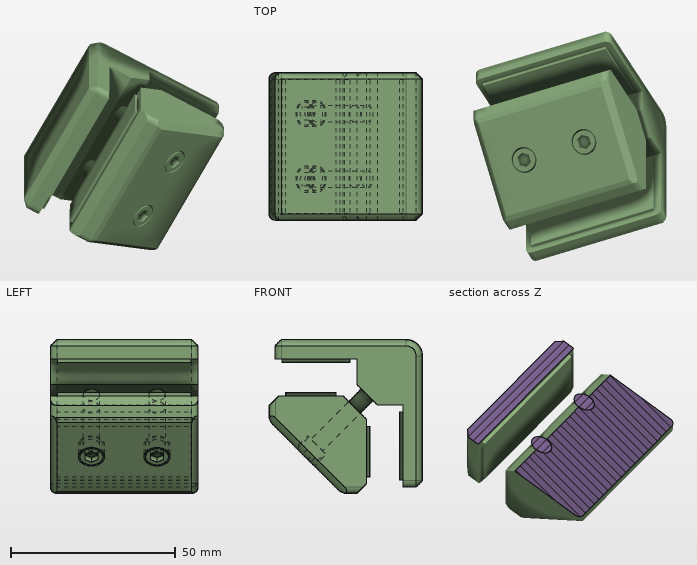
import cadquery as cq
import math


depth = 45.0
arm_length = 45.0
arm_thickness = 6.0
corner_radius = 4.95
boss_reach = 20.0
boss_bevel = 6.25
rim_chamfer = 1.95
end_fillet = 2.0

block_size = 29.75
block_right = -17.05
block_top = -17.15
inner_bevel = 7.2
tip_bevel = 2.95
slope_corner = 7.55
facet_setback = 0.9
block_fillet = 1.95
slope_chamfer = 1.95

pad_thickness = 1.0
pad_margin = 2.1

screw_spacing = 20.0
shank_diameter = 5.0
head_diameter = 7.0
head_height = 5.0
counterbore_diameter = 7.97
socket_flats = 4.0
socket_depth = 1.95

half_depth = depth / 2
pad_depth = depth - 2 * pad_margin
block_left = block_right - block_size
block_bottom = block_top - block_size
facet_step = facet_setback * math.sin(math.radians(45))
tip_edge = slope_corner - facet_setback
slope_offset = -(block_left + block_top - slope_corner) / math.sqrt(2)
boss_face_offset = (2 * boss_reach - boss_bevel) / math.sqrt(2)
head_seat_offset = slope_offset - head_height


def prism(points):
    """Extrude an XZ outline over the whole depth, centred on Y = 0."""
    return cq.Workplane("XZ").polyline(points).close().extrude(half_depth, both=True)


def pad(x_min, x_max, z_min, z_max):
    """Flat contact pad, set in from both side faces."""
    size_x = x_max - x_min
    size_z = z_max - z_min
    centre = ((x_min + x_max) / 2, 0, (z_min + z_max) / 2)
    return cq.Workplane("XY").box(size_x, pad_depth, size_z).translate(centre)


def screw_plane(y, offset):
    """Plane square to a screw axis, facing outward, at a distance from the origin along it."""
    along = offset / math.sqrt(2)
    return cq.Workplane(cq.Plane(origin=(-along, y, -along), xDir=(-1, 0, 1), normal=(-1, 0, -1)))


def make_screw(y):
    """Socket-head screw from the boss face to the sloped face of the block."""
    shank = screw_plane(y, boss_face_offset).circle(shank_diameter / 2)
    shank = shank.extrude(head_seat_offset - boss_face_offset)
    head = screw_plane(y, head_seat_offset).circle(head_diameter / 2).extrude(head_height)
    socket_corners = socket_flats / math.cos(math.radians(30))
    socket = screw_plane(y, slope_offset).polygon(6, socket_corners).extrude(-socket_depth)
    return shank.union(head).cut(socket)


def make_bracket(screw_positions):
    """L-shaped bracket with its bevelled boss, pads and fixed screws."""
    arms = prism([
        (0, 0),
        (-arm_length, 0),
        (-arm_length, -arm_thickness),
        (-arm_thickness, -arm_thickness),
        (-arm_thickness, -arm_length),
        (0, -arm_length),
    ])
    arms = arms.edges(cq.selectors.NearestToPointSelector((0, 0, 0))).fillet(corner_radius)
    arms = arms.faces("<X").edges("|Z").fillet(end_fillet)
    arms = arms.faces("<Z").edges("|X").fillet(end_fillet)
    arms = arms.faces(">Z").edges("<X").chamfer(rim_chamfer)

    boss = prism([
        (-arm_thickness, -arm_thickness),
        (-boss_reach, -arm_thickness),
        (-boss_reach, boss_bevel - boss_reach),
        (boss_bevel - boss_reach, -boss_reach),
        (-arm_thickness, -boss_reach),
    ])
    bracket = arms.union(boss)

    pad_start = -arm_length + pad_margin
    pad_end = -boss_reach - pad_margin
    pad_face = -arm_thickness - pad_thickness
    bracket = bracket.union(pad(pad_start, pad_end, pad_face, -arm_thickness))
    bracket = bracket.union(pad(pad_face, -arm_thickness, pad_start, pad_end))

    for y in screw_positions:
        bracket = bracket.union(make_screw(y))
    return bracket


def slope_edge_cutter(side):
    """Prism that bevels one side edge of the sloped face; side is -1 or +1."""
    slope_position = slope_offset / math.sqrt(2)
    section = cq.Plane(origin=(-slope_position, 0, -slope_position), xDir=(0, 1, 0), normal=(1, 0, -1))
    triangle = [
        (side * half_depth, 0),
        (side * (half_depth - slope_chamfer), 0),
        (side * half_depth, slope_chamfer),
    ]
    return cq.Workplane(section).polyline(triangle).close().extrude(block_size, both=True)


def make_block(screw_positions):
    """Clamp block with pads, a sloped outer face and stepped screw holes."""
    block = prism([
        (block_right - inner_bevel, block_top),
        (block_left + tip_bevel, block_top),
        (block_left, block_top - tip_bevel),
        (block_left, block_top - tip_edge),
        (block_left + facet_step, block_top - slope_corner - facet_step),
        (block_right - slope_corner - facet_step, block_bottom + facet_step),
        (block_right - tip_edge, block_bottom),
        (block_right - tip_bevel, block_bottom),
        (block_right, block_bottom + tip_bevel),
        (block_right, block_top - inner_bevel),
    ])
    block = block.faces("<X").edges("|Z").fillet(block_fillet)
    block = block.faces("<Z").edges("|X").fillet(block_fillet)
    for side in (-1, 1):
        block = block.cut(slope_edge_cutter(side))

    pad_start = inner_bevel + pad_margin
    pad_end = block_size - tip_bevel - pad_margin
    top_pad = pad(block_right - pad_end, block_right - pad_start, block_top, block_top + pad_thickness)
    side_pad = pad(block_right, block_right + pad_thickness, block_top - pad_end, block_top - pad_start)
    block = block.union(top_pad).union(side_pad)

    for y in screw_positions:
        hole = screw_plane(y, boss_face_offset).circle(shank_diameter / 2)
        block = block.cut(hole.extrude(slope_offset - boss_face_offset))
        counterbore = screw_plane(y, slope_offset).circle(counterbore_diameter / 2)
        block = block.cut(counterbore.extrude(-head_height))
    return block


screw_positions = [-screw_spacing / 2, screw_spacing / 2]
bracket = make_bracket(screw_positions)
block = make_block(screw_positions)
result = cq.Compound.makeCompound([bracket.val(), block.val()])